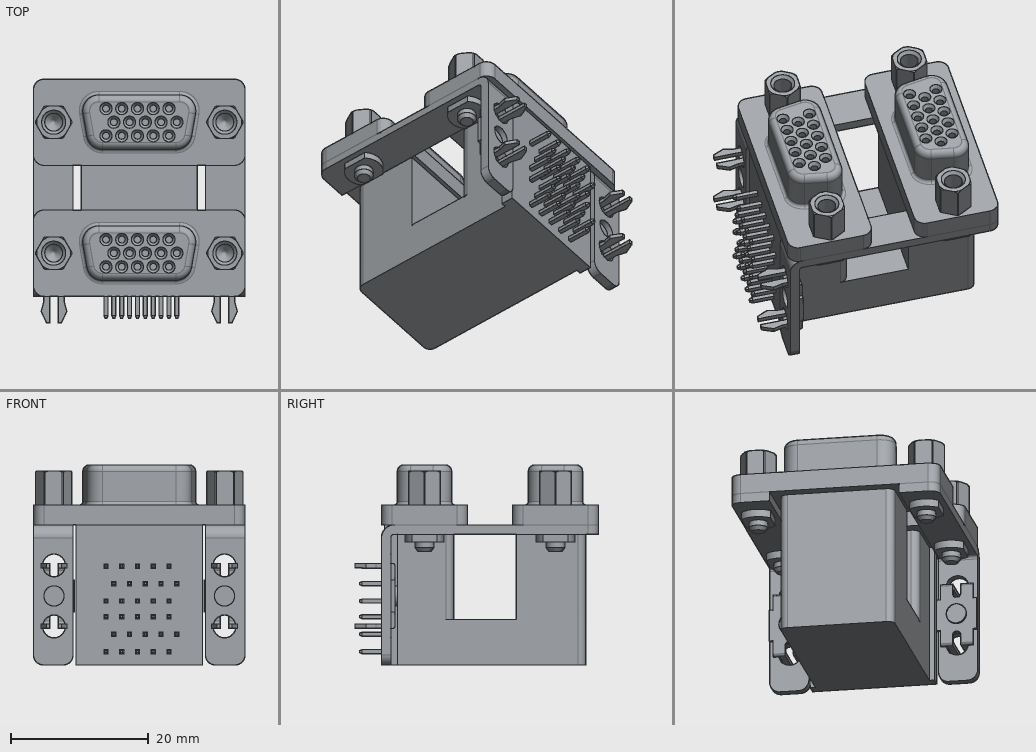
import cadquery as cq
import math


total_height = 29.14
overall_depth = 35.45
bracket_top = 20.4
flange_top = 23.3
width = 30.81
flange_depth = 12.55
connector_pitch = 19.05
connector_centers = [flange_depth / 2, flange_depth / 2 + connector_pitch]
corner_radius = 1.55
overlap = 0.1

sheet = 1.38
strap_inner_x = 9.6
strap_width = width / 2 - strap_inner_x
strap_length = flange_depth + connector_pitch
bend_radius = 0.5
strap_foot_radius = 1.5

plate_width = 18.4
plate_front = 0.44
plate_back = 2.34
core_width = 16.9
front_column_back = 10.54
rear_column_front = 19.6
rear_column_back = 29.74
column_radius = 1.15
base_height = 6.65

shell_half_depth = 3.97
shell_mid_half_width = 7.976
shell_slant = 10
shell_corner_radius = 2.34
shell_top_radius = 1.0
shell_flare = 0.5

contact_pitch = 2.29
contact_center_x = -0.26
contacts_per_row = 5
socket_row_pitch = 1.98
socket_mouth_radius = 0.88
socket_bore_radius = 0.5
socket_mouth_depth = 0.5
socket_depth = 3.0
pin_size = 0.62
pin_tip_size = 0.3
pin_tip_start = -2.78
pin_tip_end = -3.2
pin_row_pitch = 2.54
pin_group_heights = [4.5, 11.85]

jack_x = 12.45
jack_top = 28.25
jack_flats = 4.7
jack_corner_radius = 2.66
jack_top_chamfer = 0.2
jack_mouth_radius = 1.75
jack_bore_radius = 1.3
jack_mouth_depth = jack_mouth_radius - jack_bore_radius
jack_bore_depth = 5.0
nut_radius = 2.815
nut_flats = 4.27
nut_thickness = 1.12
stud_radius = 1.38
stud_length = 1.38
stud_chamfer_radial = 0.45
stud_chamfer_length = 0.55

clip_x = 12.4
clip_center_z = 10.06
clip_half_height = 4.72
clip_thickness = 0.58
clip_body_half_width = 2.97
clip_body_half_height = 2.35
clip_end_half_width = 2.4
clip_slot_half_width = 0.6
clip_slot_reach = 2.6
prong_thickness = 0.65
prong_neck_half_width = 1.5
prong_inner_bend = 0.4
prong_outer_bend = 0.3
prong_barb_half_width = 1.88
prong_tip_half_width = 1.1
prong_neck_end = -0.77
prong_barb_y = -2.2
prong_tip_y = strap_length - overall_depth
lock_hole_spacing = 8.88
lock_hole_radius = 1.64
rivet_radius = 1.47
rivet_depth = 0.85
rivet_head = 0.36


def block(x_size, y_range, z_range):
    """Box centred on X = 0 between the given Y and Z limits."""
    y_low, y_high = y_range
    z_low, z_high = z_range
    box = cq.Workplane("XY").box(x_size, y_high - y_low, z_high - z_low, centered=(True, False, False))
    return box.translate((0, y_low, z_low))


def cylinder_along_y(radius, x, z, y_start, y_end):
    """Cylinder running in +Y from y_start to y_end."""
    start = cq.Vector(x, y_start, z)
    return cq.Workplane(cq.Solid.makeCylinder(radius, y_end - y_start, start, cq.Vector(0, 1, 0)))


def contact_positions(row_pitch):
    """Three rows of contacts, the middle row shifted by half a pitch."""
    positions = []
    for row in (-1, 0, 1):
        shift = contact_pitch / 2 if row == 0 else 0
        for index in range(contacts_per_row):
            x = contact_center_x + shift + (index - (contacts_per_row - 1) / 2) * contact_pitch
            positions.append((x, row * row_pitch))
    return positions


def make_housing():
    rear = block(core_width, (rear_column_front, rear_column_back), (0, bracket_top + overlap))
    rear = rear.edges("|Z and >Y").fillet(column_radius)
    front = block(core_width, (plate_front, front_column_back), (0, bracket_top + overlap))
    front = front.edges("|Z and >Y").fillet(column_radius)
    plate = block(plate_width, (plate_front, plate_back), (0, bracket_top + overlap))
    base = block(core_width, (plate_front, rear_column_front + overlap), (0, base_height))
    return rear.union(front).union(plate).union(base)


def make_strap():
    """Right-hand folded strap with its rounded corners and clip holes."""
    outer = block(strap_width, (0, strap_length), (0, bracket_top))
    outer = outer.edges("|X and >Z and <Y").fillet(bend_radius + sheet)
    inner = block(strap_width, (sheet, strap_length), (0, bracket_top - sheet))
    inner = inner.edges("|X and >Z and <Y").fillet(bend_radius)
    strap = outer.cut(inner).translate((strap_inner_x + strap_width / 2, 0, 0))
    strap = strap.edges("|Y and <Z").fillet(strap_foot_radius)
    strap = strap.edges("|Z and >Y and >X").fillet(corner_radius)
    for side in (-1, 1):
        z = clip_center_z + side * lock_hole_spacing / 2
        strap = strap.cut(cylinder_along_y(lock_hole_radius, clip_x, z, 0, sheet))
    return strap.cut(cylinder_along_y(rivet_radius, clip_x, clip_center_z, 0, rivet_depth))


def make_prong(side):
    """One flat barbed prong, side = -1 or +1 from the clip axis, outlined in the XY plane."""
    outline = [
        (side * clip_slot_half_width, sheet + clip_thickness),
        (side * prong_neck_half_width, sheet + clip_thickness),
        (side * prong_neck_half_width, prong_neck_end),
        (side * prong_barb_half_width, prong_barb_y),
        (side * prong_tip_half_width, prong_tip_y),
        (side * clip_slot_half_width, prong_tip_y),
    ]
    return cq.Workplane("XY").polyline(outline).close().extrude(prong_thickness)


def make_inner_bend():
    """Concave bend filling the corner between the clip plate and the upper prongs."""
    y_range = (sheet - prong_inner_bend, sheet)
    corner_z = clip_half_height - prong_thickness
    z_low = corner_z - prong_inner_bend
    bend = block(2 * prong_neck_half_width, y_range, (z_low, corner_z))
    hollow = cq.Workplane("YZ").center(y_range[0], z_low).circle(prong_inner_bend)
    return bend.cut(hollow.extrude(prong_neck_half_width, both=True))


def make_clip():
    """Clip plate lying on the back of the strap, with two prongs at each end."""
    y_range = (sheet, sheet + clip_thickness)
    upper = block(2 * clip_end_half_width, y_range, (0, clip_half_height)).union(make_inner_bend())
    for side in (-1, 1):
        prong = make_prong(side).translate((0, 0, clip_half_height - prong_thickness))
        upper = upper.union(prong)
    upper = upper.edges("|X and >Y and >Z").fillet(prong_outer_bend)
    slot_end_center = clip_slot_reach + clip_slot_half_width
    y_bend = (sheet - prong_inner_bend, sheet + clip_thickness)
    slot = block(2 * clip_slot_half_width, y_bend, (slot_end_center, clip_half_height))
    slot = slot.union(cylinder_along_y(clip_slot_half_width, 0, slot_end_center, *y_bend))
    upper = upper.cut(slot)
    body_z = (-clip_body_half_height, clip_body_half_height)
    clip = block(2 * clip_body_half_width, y_range, body_z)
    clip = clip.union(upper).union(upper.mirror("XY"))
    clip = clip.union(cylinder_along_y(rivet_radius, 0, 0, sheet, sheet + clip_thickness + rivet_head))
    return clip.translate((clip_x, 0, clip_center_z))


def make_flange():
    flange = block(width, (-flange_depth / 2, flange_depth / 2), (bracket_top, flange_top))
    return flange.edges("|Z").fillet(corner_radius)


def make_shell():
    """D-shaped shell, wider at the back, with a flared foot and a rounded top."""
    taper = shell_half_depth * math.tan(math.radians(shell_slant))
    wide = shell_mid_half_width + taper
    narrow = shell_mid_half_width - taper
    outline = [
        (-wide, shell_half_depth),
        (wide, shell_half_depth),
        (narrow, -shell_half_depth),
        (-narrow, -shell_half_depth),
    ]
    shell = cq.Workplane("XY").workplane(offset=flange_top).polyline(outline).close()
    shell = shell.extrude(total_height - flange_top)
    return shell.edges("|Z").fillet(shell_corner_radius).faces(">Z").edges().fillet(shell_top_radius)


def make_sockets():
    """Cutting tool for the contact holes, each with a conical mouth."""
    profile = [
        (0, 0),
        (socket_mouth_radius, 0),
        (socket_bore_radius, -socket_mouth_depth),
        (socket_bore_radius, -socket_depth),
        (0, -socket_depth),
    ]
    hole = cq.Workplane("XZ").polyline(profile).close().revolve(360, (0, 0), (0, 1))
    tool = cq.Workplane("XY")
    for x, y in contact_positions(socket_row_pitch):
        tool = tool.add(hole.translate((x, y, total_height)))
    return tool.combine()


def make_jackscrew():
    """Hexagonal jackscrew with trimmed corners, and the cutting tool for its drilled hole."""
    hexagon_sides = 6
    height = jack_top - flange_top
    across_corners = jack_flats / math.cos(math.pi / hexagon_sides)
    hexagon = cq.Workplane("XY").polygon(hexagon_sides, across_corners).extrude(height)
    turned = cq.Workplane("XY").circle(jack_corner_radius).extrude(height)
    turned = turned.faces(">Z").chamfer(jack_top_chamfer)
    profile = [
        (0, height),
        (jack_mouth_radius, height),
        (jack_bore_radius, height - jack_mouth_depth),
        (jack_bore_radius, height - jack_bore_depth),
        (0, height - jack_bore_depth - jack_bore_radius),
    ]
    bore = cq.Workplane("XZ").polyline(profile).close().revolve(360, (0, 0), (0, 1))
    return hexagon.intersect(turned).translate((0, 0, flange_top)), bore.translate((0, 0, flange_top))


def make_nut():
    """Round nut with two side flats and the chamfered stud end projecting below it."""
    nut = cq.Workplane("XY").circle(nut_radius).extrude(-nut_thickness)
    nut = nut.intersect(block(nut_flats, (-nut_radius, nut_radius), (-nut_thickness, 0)))
    stud = cq.Workplane("XY").circle(stud_radius).extrude(-nut_thickness - stud_length)
    stud = stud.faces("<Z").chamfer(stud_chamfer_length, stud_chamfer_radial)
    return nut.union(stud).translate((0, 0, bracket_top - sheet))


def make_connector():
    flange = make_flange()
    connector = flange.union(make_shell())
    foot_half_width = shell_mid_half_width + shell_half_depth * math.tan(math.radians(shell_slant))
    foot_half_depth = shell_half_depth + overlap
    foot_edges = connector.edges(cq.selectors.BoxSelector(
        (-foot_half_width, -foot_half_depth, flange_top - overlap),
        (foot_half_width, foot_half_depth, flange_top + overlap)))
    connector = foot_edges.fillet(shell_flare).cut(make_sockets())
    jackscrew, bore = make_jackscrew()
    for side in (-1, 1):
        offset = (side * jack_x, 0, 0)
        connector = connector.union(jackscrew.translate(offset)).cut(bore.translate(offset))
        connector = connector.union(make_nut().translate(offset))
    return connector


def make_pin():
    """Square solder tail running forward from the housing, with a tapered tip."""
    tail = block(pin_size, (pin_tip_start, plate_back), (-pin_size / 2, pin_size / 2))
    tip = cq.Workplane("XZ", origin=(0, pin_tip_start, 0)).rect(pin_size, pin_size)
    tip = tip.workplane(offset=pin_tip_start - pin_tip_end).rect(pin_tip_size, pin_tip_size).loft()
    return tail.union(tip)


connector = make_connector()
right_strap = make_strap().union(make_clip())
pin = make_pin()
parts = [connector.translate((0, y, 0)) for y in connector_centers]
parts += [right_strap, right_strap.mirror("YZ")]
for group_height in pin_group_heights:
    for x, z in contact_positions(pin_row_pitch):
        parts.append(pin.translate((x, 0, group_height + z)))
result = cq.Workplane(make_housing().val().fuse(*[part.val() for part in parts]))